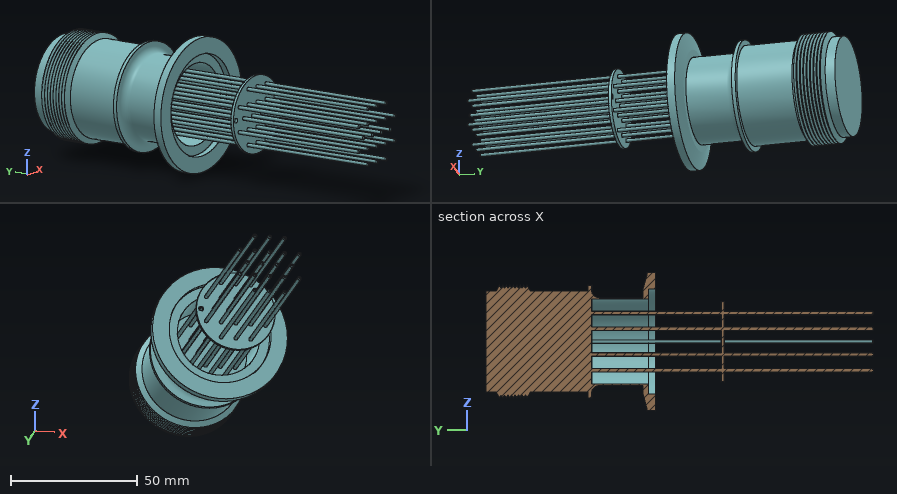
import cadquery as cq

LENGTH = 153.3

FLANGE_RADIUS = 27.5
FLANGE_FACE_Y = 86.1
FLANGE_RIM = 3.4
TAPER_HEIGHT = 1.8
TAPER_TOP_RADIUS = 20.4
RECESS_RADIUS = 20.7
RECESS_DEPTH = 2.8

NECK_RADIUS = 17.5
NECK_BORE_RADIUS = 16.7
NECK_FILLET = 3.0

COLLAR_RADIUS = 22.4
COLLAR_Y = 111.5
COLLAR_THICKNESS = 1.5
SHELL_RADIUS = 20.1

THREAD_ROOT_RADIUS = 21.3
THREAD_CREST_RADIUS = COLLAR_RADIUS
THREAD_TURNS = 9
THREAD_PITCH = 1.4
THREAD_START_Y = 135.7
THREAD_LEAD_IN = 1.3

PIN_RADIUS = 0.74
PIN_TIP_CHAMFER = 0.5
WIDE_ROW_WIDTH = 24.0
WIDE_ROW_COUNT = 5
PIN_PITCH = WIDE_ROW_WIDTH / (WIDE_ROW_COUNT - 1)
INNER_ROW_Z = 5.0
OUTER_ROW_Z = 11.3
SPACER_RADIUS = 16.0
SPACER_Y = 59.0
SPACER_THICKNESS = 1.2
SPACER_HOLE_X = 14.1
SPACER_HOLE_RADIUS = 0.9

PIN_ROWS = [
    (-OUTER_ROW_Z, 3),
    (-INNER_ROW_Z, WIDE_ROW_COUNT),
    (0, 4),
    (INNER_ROW_Z, WIDE_ROW_COUNT),
    (OUTER_ROW_Z, 3),
]


def cylinder(radius, start_y, end_y, x=0, z=0):
    """Round bar parallel to Y."""
    plane = cq.Workplane("XZ", origin=(x, start_y, z))
    return plane.circle(radius).extrude(start_y - end_y)


def make_shell():
    """Flange, neck, collar and shell turned about Y, with a blind bore from the flange face."""
    taper_start_y = FLANGE_FACE_Y + FLANGE_RIM
    first_crest_y = THREAD_START_Y + THREAD_LEAD_IN
    outline = (
        cq.Workplane("XY")
        .moveTo(0, FLANGE_FACE_Y)
        .lineTo(FLANGE_RADIUS, FLANGE_FACE_Y)
        .lineTo(FLANGE_RADIUS, taper_start_y)
        .lineTo(TAPER_TOP_RADIUS, taper_start_y + TAPER_HEIGHT)
        .lineTo(NECK_RADIUS, taper_start_y + TAPER_HEIGHT)
        .lineTo(NECK_RADIUS, COLLAR_Y - NECK_FILLET)
        .radiusArc((NECK_RADIUS + NECK_FILLET, COLLAR_Y), NECK_FILLET)
        .lineTo(COLLAR_RADIUS, COLLAR_Y)
        .lineTo(COLLAR_RADIUS, COLLAR_Y + COLLAR_THICKNESS)
        .lineTo(SHELL_RADIUS, COLLAR_Y + COLLAR_THICKNESS)
        .lineTo(SHELL_RADIUS, THREAD_START_Y)
        .lineTo(THREAD_CREST_RADIUS, first_crest_y)
    )
    for turn in range(1, THREAD_TURNS):
        crest_y = first_crest_y + turn * THREAD_PITCH
        outline = outline.lineTo(THREAD_ROOT_RADIUS, crest_y - THREAD_PITCH / 2)
        outline = outline.lineTo(THREAD_CREST_RADIUS, crest_y)
    last_crest_y = first_crest_y + (THREAD_TURNS - 1) * THREAD_PITCH
    outline = (
        outline.lineTo(SHELL_RADIUS, last_crest_y + THREAD_LEAD_IN)
        .lineTo(SHELL_RADIUS, LENGTH)
        .lineTo(0, LENGTH)
        .close()
    )
    turned = outline.revolve(360, (0, 0, 0), (0, 1, 0))
    recess = cylinder(RECESS_RADIUS, FLANGE_FACE_Y, FLANGE_FACE_Y + RECESS_DEPTH)
    bore = cylinder(NECK_BORE_RADIUS, FLANGE_FACE_Y, COLLAR_Y)
    return turned.cut(recess).cut(bore)


def make_spacer():
    """Thin disc around the pins with one open hole at each side."""
    spacer_end_y = SPACER_Y + SPACER_THICKNESS
    spacer = cylinder(SPACER_RADIUS, SPACER_Y, spacer_end_y)
    for x in (-SPACER_HOLE_X, SPACER_HOLE_X):
        spacer = spacer.cut(cylinder(SPACER_HOLE_RADIUS, SPACER_Y, spacer_end_y, x=x))
    return spacer


def make_pin(x, z):
    """Pin with a chamfered tip, rooted in the collar."""
    root_y = COLLAR_Y + COLLAR_THICKNESS
    return cylinder(PIN_RADIUS, 0, root_y, x, z).faces("<Y").chamfer(PIN_TIP_CHAMFER)


result = make_shell().union(make_spacer())
for row_z, pin_count in PIN_ROWS:
    for index in range(pin_count):
        pin_x = (index - (pin_count - 1) / 2) * PIN_PITCH
        result = result.union(make_pin(pin_x, row_z))